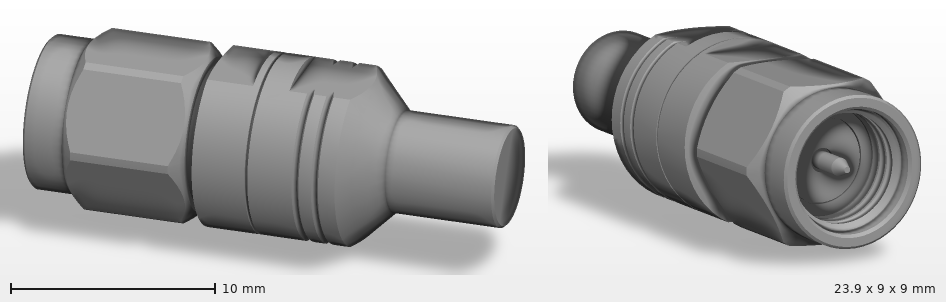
import cadquery as cq
import math

TOTAL_LENGTH = 23.88
BODY_RADIUS = 4.5

NUT_FLAT_HALF_WIDTH = 4.0
SLEEVE_RADIUS = 3.85
SLEEVE_CHAMFER = 0.13
HEX_SIDES = 6
HEX_START = 2.05
HEX_END = 8.38
HEX_CONE = BODY_RADIUS - SLEEVE_RADIUS

NECK_RADIUS = 3.47

BODY_START = 8.8
BODY_FRONT_RADIUS = 3.9
BODY_FRONT_BEVEL = 0.16
CONE_START = 16.33
TAIL_RADIUS = 2.55
TAIL_CHAMFER = 0.12
CONE_END = CONE_START + BODY_RADIUS - TAIL_RADIUS

FLAT_HEIGHT = 4.0
BAND_START = 11.33
BAND_END = 13.2

SEAM_START = 11.68
SEAM_WIDTH = 0.15
SEAM_DEPTH = 0.2
V_GROOVE_CENTER = 14.29
V_GROOVE_PITCH = 1.0
V_GROOVE_COUNT = 2
V_GROOVE_HALF_WIDTH = 0.18
V_GROOVE_DEPTH = 0.26

SOCKET_RADIUS = 3.13
SOCKET_CHAMFER = 0.15
SOCKET_STEP = 0.8
THREAD_ENTRY_RADIUS = 3.06
THREAD_CREST_RADIUS = 2.77
MM_PER_INCH = 25.4
THREADS_PER_INCH = 36
THREAD_PITCH = MM_PER_INCH / THREADS_PER_INCH
THREAD_CREST_WIDTH = 0.15
THREAD_COUNT = 3
THREAD_HALF_ANGLE = math.radians(30)
THREAD_START = SOCKET_STEP + THREAD_ENTRY_RADIUS - THREAD_CREST_RADIUS
THREAD_OPENING = THREAD_PITCH - THREAD_CREST_WIDTH
THREAD_DEPTH = THREAD_OPENING / 2 / math.tan(THREAD_HALF_ANGLE)
SOCKET_FLOOR = THREAD_START + THREAD_COUNT * THREAD_PITCH

PIN_TIP_X = 0.65
PIN_TIP_RADIUS = 0.16
PIN_TAPER_LENGTH = 0.77
PIN_RADIUS = 0.46
PIN_RING_RADIUS = 0.61
DIELECTRIC_RADIUS = 2.12
DIELECTRIC_RING_RADIUS = 2.2
RING_DEPTH = 0.2


def revolve_profile(points):
    """Revolve a closed (x, radius) outline about the X axis."""
    profile = cq.Workplane("XY").polyline(points).close()
    return profile.revolve(360, (0, 0, 0), (1, 0, 0))


def cylinder(radius, start, end):
    return cq.Workplane("YZ", origin=(start, 0, 0)).circle(radius).extrude(end - start)


def tube(outer_radius, inner_radius, start, end):
    section = cq.Workplane("YZ", origin=(start, 0, 0)).circle(outer_radius).circle(inner_radius)
    return section.extrude(end - start)


def make_nut():
    sleeve = revolve_profile([
        (0, 0),
        (0, SLEEVE_RADIUS - SLEEVE_CHAMFER),
        (SLEEVE_CHAMFER, SLEEVE_RADIUS),
        (HEX_START, SLEEVE_RADIUS),
        (HEX_START, 0),
    ])
    envelope = revolve_profile([
        (HEX_START, 0),
        (HEX_START, SLEEVE_RADIUS),
        (HEX_START + HEX_CONE, BODY_RADIUS),
        (HEX_END - HEX_CONE, BODY_RADIUS),
        (HEX_END, SLEEVE_RADIUS),
        (HEX_END, 0),
    ])
    corner_diameter = 2 * NUT_FLAT_HALF_WIDTH / math.cos(math.pi / HEX_SIDES)
    hexagon = (
        cq.Workplane("YZ", origin=(HEX_START, 0, 0))
        .polygon(HEX_SIDES, corner_diameter)
        .extrude(HEX_END - HEX_START)
    )
    return sleeve.union(hexagon.intersect(envelope))


def v_groove(center):
    """V-shaped ring cutter around the body."""
    return revolve_profile([
        (center - V_GROOVE_HALF_WIDTH, BODY_RADIUS),
        (center, BODY_RADIUS - V_GROOVE_DEPTH),
        (center + V_GROOVE_HALF_WIDTH, BODY_RADIUS),
    ])


def flat_cutter(start, end, side):
    """Block removing everything beyond the flat on one side (+1 or -1) in Z."""
    thickness = BODY_RADIUS - FLAT_HEIGHT
    center = ((start + end) / 2, 0, side * (FLAT_HEIGHT + thickness / 2))
    return cq.Workplane("XY", origin=center).box(end - start, 2 * BODY_RADIUS, thickness)


def make_body():
    body = revolve_profile([
        (BODY_START, 0),
        (BODY_START, BODY_FRONT_RADIUS),
        (BODY_START + BODY_FRONT_BEVEL, BODY_RADIUS),
        (CONE_START, BODY_RADIUS),
        (CONE_END, TAIL_RADIUS),
        (TOTAL_LENGTH - TAIL_CHAMFER, TAIL_RADIUS),
        (TOTAL_LENGTH, TAIL_RADIUS - TAIL_CHAMFER),
        (TOTAL_LENGTH, 0),
    ])
    for side in (1, -1):
        body = body.cut(flat_cutter(BODY_START, BAND_START, side))
        body = body.cut(flat_cutter(BAND_END, CONE_END, side))
    body = body.cut(tube(BODY_RADIUS, BODY_RADIUS - SEAM_DEPTH, SEAM_START, SEAM_START + SEAM_WIDTH))
    for index in range(V_GROOVE_COUNT):
        body = body.cut(v_groove(V_GROOVE_CENTER + index * V_GROOVE_PITCH))
    return body


def make_socket():
    """Cutter for the socket: chamfered mouth, step, lead-in cone and V thread rings."""
    points = [
        (0, 0),
        (0, SOCKET_RADIUS + SOCKET_CHAMFER),
        (SOCKET_CHAMFER, SOCKET_RADIUS),
        (SOCKET_STEP, SOCKET_RADIUS),
        (SOCKET_STEP, THREAD_ENTRY_RADIUS),
        (THREAD_START, THREAD_CREST_RADIUS),
    ]
    for index in range(THREAD_COUNT):
        start = THREAD_START + index * THREAD_PITCH
        points.append((start + THREAD_OPENING / 2, THREAD_CREST_RADIUS + THREAD_DEPTH))
        points.append((start + THREAD_OPENING, THREAD_CREST_RADIUS))
        points.append((start + THREAD_PITCH, THREAD_CREST_RADIUS))
    points.append((SOCKET_FLOOR, 0))
    return revolve_profile(points)


def make_pin():
    return revolve_profile([
        (PIN_TIP_X, 0),
        (PIN_TIP_X, PIN_TIP_RADIUS),
        (PIN_TIP_X + PIN_TAPER_LENGTH, PIN_RADIUS),
        (SOCKET_FLOOR + RING_DEPTH, PIN_RADIUS),
        (SOCKET_FLOOR + RING_DEPTH, 0),
    ])


ring_floor = SOCKET_FLOOR + RING_DEPTH
result = make_nut().union(cylinder(NECK_RADIUS, HEX_END, BODY_START)).union(make_body())
result = result.cut(make_socket())
result = result.cut(tube(DIELECTRIC_RING_RADIUS, DIELECTRIC_RADIUS, SOCKET_FLOOR, ring_floor))
result = result.cut(tube(PIN_RING_RADIUS, PIN_RADIUS, SOCKET_FLOOR, ring_floor))
result = result.union(make_pin())